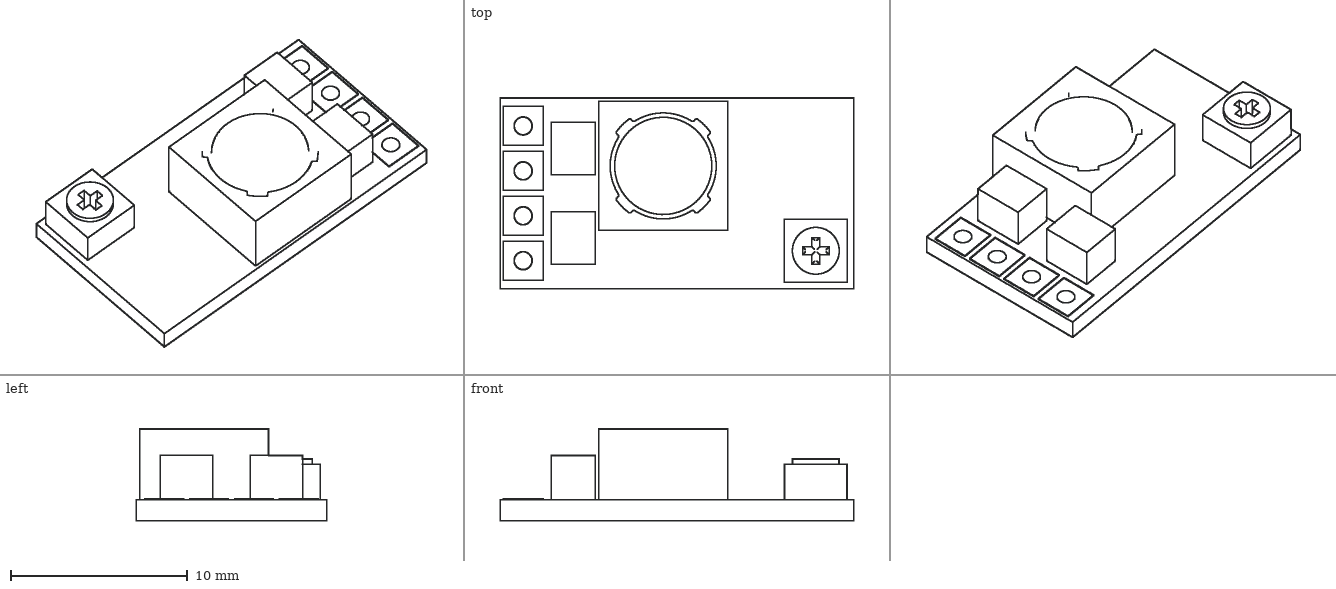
import cadquery as cq
import math

BOARD_LENGTH = 20.0
BOARD_WIDTH = 10.8
BOARD_THICKNESS = 1.2

PIN_PITCH = 2.54
PAD_COUNT = 4
PAD_X = -8.7
PAD_LENGTH = 2.25
PAD_WIDTH = 2.2
PAD_HEIGHT = 0.05
HOLE_DIAMETER = 1.0

CAPACITOR_X = -5.87
CAPACITOR_Y = PIN_PITCH
CAPACITOR_LENGTH = 2.5
CAPACITOR_WIDTH = 2.97
CAPACITOR_HEIGHT = 2.5

INDUCTOR_X = -0.78
INDUCTOR_Y = 1.55
INDUCTOR_SIDE = 7.3
INDUCTOR_HEIGHT = 4.0
GROOVE_OUTER_RADIUS = 3.0
GROOVE_WIDTH = 0.25
GROOVE_INNER_RADIUS = GROOVE_OUTER_RADIUS - GROOVE_WIDTH
GROOVE_DEPTH = 0.3
GROOVE_RIM_RADIUS = 0.1
GROOVE_FLOOR_RADIUS = 0.1
TAB_COUNT = 4
TAB_FIRST_ANGLE = 45.0
TAB_RADIUS = 3.28
TAB_WIDTH = 1.15
TAB_CORNER_RADIUS = 0.1

TRIMMER_X = 7.85
TRIMMER_Y = -3.25
TRIMMER_SIDE = 3.55
TRIMMER_HEIGHT = 2.0
ADJUSTER_DIAMETER = 2.65
ADJUSTER_HEIGHT = 0.3
CROSS_LENGTH = 1.5
CROSS_WIDTH = 0.45
CROSS_DEPTH = 0.8
CROSS_FLOOR_RADIUS = 0.2


def block(x, y, length, width, height, base=BOARD_THICKNESS):
    """Box centred on (x, y) that stands on the level `base`."""
    return cq.Workplane("XY", origin=(x, y, base)).rect(length, width).extrude(height)


def board():
    return block(0, 0, BOARD_LENGTH, BOARD_WIDTH, BOARD_THICKNESS, base=0)


def pad_positions():
    middle = (PAD_COUNT - 1) / 2
    return [(PAD_X, (index - middle) * PIN_PITCH) for index in range(PAD_COUNT)]


def add_pads(body):
    for x, y in pad_positions():
        body = body.union(block(x, y, PAD_LENGTH, PAD_WIDTH, PAD_HEIGHT))
    holes = (
        cq.Workplane("XY")
        .pushPoints(pad_positions())
        .circle(HOLE_DIAMETER / 2)
        .extrude(BOARD_THICKNESS + PAD_HEIGHT)
    )
    return body.cut(holes)


def add_capacitors(body):
    for side in (-1, 1):
        capacitor = block(
            CAPACITOR_X,
            side * CAPACITOR_Y,
            CAPACITOR_LENGTH,
            CAPACITOR_WIDTH,
            CAPACITOR_HEIGHT,
        )
        body = body.union(capacitor)
    return body


def groove_tab():
    """Upright pocket along +X, from under the ring's core to the tab's round end."""
    half_width = TAB_WIDTH / 2
    corner_x = math.sqrt(TAB_RADIUS**2 - half_width**2)
    return (
        cq.Workplane("XY")
        .moveTo(GROOVE_INNER_RADIUS - GROOVE_WIDTH, -half_width)
        .lineTo(corner_x, -half_width)
        .threePointArc((TAB_RADIUS, 0), (corner_x, half_width))
        .lineTo(GROOVE_INNER_RADIUS - GROOVE_WIDTH, half_width)
        .close()
        .extrude(-GROOVE_DEPTH)
    )


def inductor_groove():
    """Ring groove with outward tabs and a rounded floor, its open side at Z = 0."""
    pocket = cq.Workplane("XY").circle(GROOVE_OUTER_RADIUS).extrude(-GROOVE_DEPTH)
    tab = groove_tab()
    for index in range(TAB_COUNT):
        angle = TAB_FIRST_ANGLE + index * 360 / TAB_COUNT
        pocket = pocket.union(tab.rotate((0, 0, 0), (0, 0, 1), angle))
    pocket = pocket.edges("|Z").fillet(TAB_CORNER_RADIUS)
    core = cq.Workplane("XY").circle(GROOVE_INNER_RADIUS).extrude(-GROOVE_DEPTH)
    return pocket.cut(core).faces("<Z").edges().fillet(GROOVE_FLOOR_RADIUS)


def add_inductor(body):
    inductor = block(INDUCTOR_X, INDUCTOR_Y, INDUCTOR_SIDE, INDUCTOR_SIDE, INDUCTOR_HEIGHT)
    top = BOARD_THICKNESS + INDUCTOR_HEIGHT
    inductor = inductor.cut(inductor_groove().translate((INDUCTOR_X, INDUCTOR_Y, top)))
    groove_zone = cq.selectors.BoxSelector(
        (INDUCTOR_X - TAB_RADIUS, INDUCTOR_Y - TAB_RADIUS, top - GROOVE_RIM_RADIUS / 2),
        (INDUCTOR_X + TAB_RADIUS, INDUCTOR_Y + TAB_RADIUS, top + GROOVE_RIM_RADIUS / 2),
        boundingbox=True,
    )
    inductor = inductor.edges(groove_zone).fillet(GROOVE_RIM_RADIUS)
    return body.union(inductor)


def cross_recess(x, y, top):
    """Cross-shaped recess with upright walls and a rounded floor."""
    plane = cq.Workplane("XY", origin=(x, y, top))
    along_x = plane.rect(CROSS_LENGTH, CROSS_WIDTH).extrude(-CROSS_DEPTH)
    along_y = plane.rect(CROSS_WIDTH, CROSS_LENGTH).extrude(-CROSS_DEPTH)
    cross = along_x.union(along_y)
    return cross.faces("<Z").edges().fillet(CROSS_FLOOR_RADIUS)


def add_trimmer(body):
    housing = block(TRIMMER_X, TRIMMER_Y, TRIMMER_SIDE, TRIMMER_SIDE, TRIMMER_HEIGHT)
    housing_top = BOARD_THICKNESS + TRIMMER_HEIGHT
    adjuster = (
        cq.Workplane("XY", origin=(TRIMMER_X, TRIMMER_Y, housing_top))
        .circle(ADJUSTER_DIAMETER / 2)
        .extrude(ADJUSTER_HEIGHT)
    )
    recess = cross_recess(TRIMMER_X, TRIMMER_Y, housing_top + ADJUSTER_HEIGHT)
    return body.union(housing.union(adjuster).cut(recess))


result = board()
result = add_pads(result)
result = add_capacitors(result)
result = add_inductor(result)
result = add_trimmer(result)